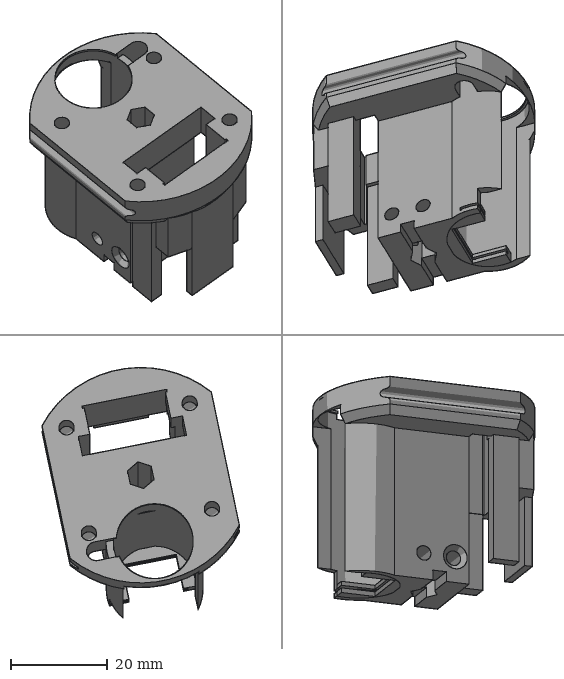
import cadquery as cq
import math

PLATE_RADIUS = 22.95
FLAT_WIDTH = 35.7
PLATE_THICKNESS = 8.0
CHAMFER_HEIGHT = 1.97
CHAMFER_INSET = 1.0
RIM_Z = CHAMFER_HEIGHT - PLATE_THICKNESS
TOTAL_HEIGHT = 40.0

GROOVE_Z = -3.55
GROOVE_HALF_HEIGHT = 1.65
GROOVE_DEPTH = 1.42
GROOVE_RADIUS = 0.9

SCREW_DIAMETER = 3.1
SCREW_DEPTH = 5.05
SCREW_POINT_ANGLE = 118.0
SCREW_CENTRE_X = 1.5
SCREW_SPACING_X = 22.95
SCREW_SPACING_Y = 25.95

HOLDER_X = -14.35
HOLDER_RADIUS = 10.0
BORE_DIAMETER = 17.0
HOLDER_TOP_Z = -1.6
LIP_DIAMETER = 15.95
LIP_THICKNESS = 0.5
FLOOR_TOP_Z = -37.55
FLOOR_EDGE_X = -16.03
OPENING_WIDTH = 15.8
OPENING_TOP_Z = -4.0
FLOOR_CUTOUT_END_X = -8.6
FLOOR_CUTOUT_WIDTH = 11.5
WALL_NOTCH_TOP_Z = -34.5

CABLE_SLOT_WIDTH = 4.0
CABLE_SLOT_END_X = FLOOR_EDGE_X + CABLE_SLOT_WIDTH
CABLE_SLOT_END_Y = 14.25
CABLE_SLOT_X = FLOOR_EDGE_X + CABLE_SLOT_WIDTH / 2

SLIT_TOP_Z = -38.45
SLIT_HEIGHT = 0.55
SLIT_HALF_WIDTH = 6.7
SLIT_CORNER = 1.2

BLOCK_START_X = -6.0
BLOCK_END_X = 6.5
BLOCK_WIDTH = 18.0
CROSS_HOLE_DIAMETER = 3.1
CROSS_HOLE_SPACING = 7.0
CROSS_HOLE_Z = -34.4
COUNTERSINK_DIAMETER = 5.25
BOTTOM_NOTCH_WIDTH = 3.0
BOTTOM_NOTCH_HEIGHT = 2.1
HEX_FLATS = 5.0
HEX_CORNERS = HEX_FLATS / math.cos(math.pi / 6)

SOCKET_START_X = 6.47
SOCKET_WIDTH = 21.95
POST_START_X = 10.65
POST_END_X = 16.35
POST_OUTER_Y = 12.2
POST_BOTTOM_Z = -34.9
THIN_POST_THICKNESS = 2.85
RETAINING_STEP = 0.15
OPENING_HALF_WIDTH = 8.55
BACK_GROOVE_WIDTH = 17.8
BACK_START_X = 16.85
BACK_END_X = 21.8
BACK_BEVEL_LENGTH = 5.2
BACK_BOTTOM_Z = -18.45
TAB_START_X = 20.1
TAB_BOTTOM_Z = -33.4


def box(x_min, x_max, y_min, y_max, z_min, z_max):
    """A box given by its limits along each axis."""
    size = (x_max - x_min, y_max - y_min, z_max - z_min)
    return cq.Workplane("XY").box(*size, centered=False).translate((x_min, y_min, z_min))


def cylinder(x, y, diameter, z_bottom, z_top):
    """A vertical cylinder."""
    return cq.Workplane("XY", origin=(x, y, z_bottom)).circle(diameter / 2).extrude(z_top - z_bottom)


def plate_outline(z):
    """Sketch of the plate: two arcs joined by flats at +Y and -Y."""
    flat_y = FLAT_WIDTH / 2
    corner_x = math.sqrt(PLATE_RADIUS**2 - flat_y**2)
    return (
        cq.Workplane("XY", origin=(0, 0, z))
        .moveTo(-corner_x, -flat_y)
        .lineTo(corner_x, -flat_y)
        .threePointArc((PLATE_RADIUS, 0), (corner_x, flat_y))
        .lineTo(-corner_x, flat_y)
        .threePointArc((-PLATE_RADIUS, 0), (-corner_x, -flat_y))
        .close()
    )


def groove_cutter():
    """Cutter for the groove along the -Y flat."""
    hollow_depth = GROOVE_DEPTH - GROOVE_RADIUS
    shoulder_radius = (GROOVE_HALF_HEIGHT**2 + hollow_depth**2 - GROOVE_RADIUS**2) / (2 * GROOVE_DEPTH)
    share = GROOVE_RADIUS / (GROOVE_RADIUS + shoulder_radius)
    touch_y = hollow_depth + share * (shoulder_radius - hollow_depth)
    touch_z = share * GROOVE_HALF_HEIGHT
    return (
        cq.Workplane("YZ", origin=(-PLATE_RADIUS, -FLAT_WIDTH / 2, GROOVE_Z))
        .moveTo(0, GROOVE_HALF_HEIGHT)
        .radiusArc((touch_y, touch_z), -shoulder_radius)
        .threePointArc((GROOVE_DEPTH, 0), (touch_y, -touch_z))
        .radiusArc((0, -GROOVE_HALF_HEIGHT), -shoulder_radius)
        .close()
        .extrude(2 * PLATE_RADIUS)
    )


def make_plate():
    """Plate with chamfered underside, grooved flats and the cable slot."""
    chamfer_angle = math.degrees(math.atan2(CHAMFER_INSET, CHAMFER_HEIGHT))
    plate = plate_outline(RIM_Z).extrude(-RIM_Z)
    plate = plate.union(plate_outline(RIM_Z).extrude(-CHAMFER_HEIGHT, taper=chamfer_angle))
    groove = groove_cutter()
    plate = plate.cut(groove).cut(groove.mirror("XZ"))

    slot_centre_y = CABLE_SLOT_END_Y - CABLE_SLOT_WIDTH / 2
    slot = box(FLOOR_EDGE_X, CABLE_SLOT_END_X, 0, slot_centre_y, -PLATE_THICKNESS, 0)
    slot_end = cylinder(CABLE_SLOT_X, slot_centre_y, CABLE_SLOT_WIDTH, -PLATE_THICKNESS, 0)
    return plate.cut(slot).cut(slot_end)


def screw_holes():
    """Blind holes with a conical end, one near each corner of the plate."""
    radius = SCREW_DIAMETER / 2
    point_depth = radius / math.tan(math.radians(SCREW_POINT_ANGLE / 2))
    hole = (
        cq.Workplane("XZ")
        .polyline([(0, 0), (radius, 0), (radius, -SCREW_DEPTH), (0, -SCREW_DEPTH - point_depth)])
        .close()
        .revolve(360, (0, 0), (0, 1))
    )
    places = cq.Workplane("XY").center(SCREW_CENTRE_X, 0).rarray(SCREW_SPACING_X, SCREW_SPACING_Y, 2, 2)
    return places.eachpoint(lambda place: hole.val().moved(place), combine=False)


def make_holder():
    """Outside of the tube and of the block that it runs into."""
    tube = cylinder(HOLDER_X, 0, 2 * HOLDER_RADIUS, -TOTAL_HEIGHT, HOLDER_TOP_Z)
    tube = tube.intersect(cylinder(0, 0, 2 * PLATE_RADIUS, -TOTAL_HEIGHT, 0))
    half_width = BLOCK_WIDTH / 2
    block = box(HOLDER_X, BLOCK_END_X, -half_width, half_width, -TOTAL_HEIGHT, -PLATE_THICKNESS)
    return tube.union(block)


def holder_cavity():
    """Bore with its top lip and the wide opening towards -X."""
    bore = cylinder(HOLDER_X, 0, BORE_DIAMETER, -TOTAL_HEIGHT, -LIP_THICKNESS)
    half_bore = BORE_DIAMETER / 2
    bore = bore.cut(
        box(BLOCK_START_X, HOLDER_X + half_bore, -half_bore, half_bore, -TOTAL_HEIGHT, -PLATE_THICKNESS)
    )
    lip_hole = cylinder(HOLDER_X, 0, LIP_DIAMETER, -LIP_THICKNESS, 0)
    half_opening = OPENING_WIDTH / 2
    opening = box(
        -PLATE_RADIUS, FLOOR_EDGE_X, -half_opening, half_opening, -TOTAL_HEIGHT, OPENING_TOP_Z
    )
    return bore.union(lip_hole).union(opening)


def wall_notch():
    """Notch in the lower end of the tube's +Y wall."""
    return box(-PLATE_RADIUS, FLOOR_EDGE_X, 0, HOLDER_RADIUS, -TOTAL_HEIGHT, WALL_NOTCH_TOP_Z)


def floor_slit():
    """Thin slit with one cut corner, open towards -X and, beside the floor edge, towards +Y."""
    slit_bottom_z = SLIT_TOP_Z - SLIT_HEIGHT
    pocket = (
        cq.Workplane("XY", origin=(0, 0, slit_bottom_z))
        .moveTo(FLOOR_EDGE_X, -SLIT_HALF_WIDTH)
        .lineTo(BLOCK_START_X - SLIT_CORNER, -SLIT_HALF_WIDTH)
        .lineTo(BLOCK_START_X, -SLIT_HALF_WIDTH + SLIT_CORNER)
        .lineTo(BLOCK_START_X, SLIT_HALF_WIDTH)
        .lineTo(FLOOR_EDGE_X, SLIT_HALF_WIDTH)
        .close()
        .extrude(SLIT_HEIGHT)
    )
    return pocket.union(box(FLOOR_EDGE_X, CABLE_SLOT_END_X, 0, HOLDER_RADIUS, slit_bottom_z, SLIT_TOP_Z))


def block_cutouts():
    """Cross holes along Y, the notch in the bottom and the hexagonal hole along Z."""
    half_width = BLOCK_WIDTH / 2
    holes = (
        cq.Workplane("XZ", origin=(0, half_width, CROSS_HOLE_Z))
        .rarray(CROSS_HOLE_SPACING, 0.45, 2, 1)
        .circle(CROSS_HOLE_DIAMETER / 2)
        .extrude(BLOCK_WIDTH)
    )
    sink_depth = (COUNTERSINK_DIAMETER - CROSS_HOLE_DIAMETER) / 2
    countersink = cq.Workplane(
        cq.Solid.makeCone(
            COUNTERSINK_DIAMETER / 2,
            CROSS_HOLE_DIAMETER / 2,
            sink_depth,
            pnt=cq.Vector(CROSS_HOLE_SPACING / 2, -half_width, CROSS_HOLE_Z),
            dir=cq.Vector(0, 1, 0),
        )
    )
    half_notch = BOTTOM_NOTCH_WIDTH / 2
    notch_top_z = BOTTOM_NOTCH_HEIGHT - TOTAL_HEIGHT
    notch = box(-half_notch, half_notch, -half_width, half_width, -TOTAL_HEIGHT, notch_top_z)
    hexagon = cq.Workplane("XY").polygon(6, HEX_CORNERS).extrude(-TOTAL_HEIGHT)
    return holes.union(countersink).union(notch).union(hexagon)


def socket_opening():
    """Stepped opening through the plate: wide part, part between the posts, groove at the back."""
    half_width = SOCKET_WIDTH / 2
    wide = box(SOCKET_START_X, POST_START_X, -half_width, half_width, -PLATE_THICKNESS, 0)
    narrow = box(POST_START_X, POST_END_X, -OPENING_HALF_WIDTH, OPENING_HALF_WIDTH, -PLATE_THICKNESS, 0)
    half_groove = BACK_GROOVE_WIDTH / 2
    groove = box(POST_END_X, BACK_START_X, -half_groove, half_groove, -PLATE_THICKNESS, 0)
    return wide.union(narrow).union(groove)


def make_posts():
    """Thin post at -Y and thick post at +Y, the thick one with a small step on its inner face."""
    thin_inner_y = THIN_POST_THICKNESS - POST_OUTER_Y
    thin = box(POST_START_X, POST_END_X, -POST_OUTER_Y, thin_inner_y, POST_BOTTOM_Z, -PLATE_THICKNESS)
    thick = box(
        POST_START_X, POST_END_X, OPENING_HALF_WIDTH, POST_OUTER_Y, POST_BOTTOM_Z, -PLATE_THICKNESS
    )
    step_y = OPENING_HALF_WIDTH - RETAINING_STEP
    step = box(
        POST_START_X, POST_END_X, step_y, OPENING_HALF_WIDTH, POST_BOTTOM_Z, BACK_BOTTOM_Z
    )
    return thin.union(thick.union(step))


def make_back():
    """Back of the socket with bevelled outer corners, and the longer tab in its middle."""
    half_width = SOCKET_WIDTH / 2
    flat_half_width = half_width - BACK_BEVEL_LENGTH
    back = (
        cq.Workplane("XY", origin=(0, 0, BACK_BOTTOM_Z))
        .moveTo(POST_END_X, -half_width)
        .lineTo(TAB_START_X, -half_width)
        .lineTo(BACK_END_X, -flat_half_width)
        .lineTo(BACK_END_X, flat_half_width)
        .lineTo(TAB_START_X, half_width)
        .lineTo(POST_END_X, half_width)
        .close()
        .extrude(RIM_Z - BACK_BOTTOM_Z)
    )
    half_groove = BACK_GROOVE_WIDTH / 2
    back = back.cut(box(POST_END_X, BACK_START_X, -half_groove, half_groove, BACK_BOTTOM_Z, RIM_Z))
    tab = box(TAB_START_X, BACK_END_X, -flat_half_width, flat_half_width, TAB_BOTTOM_Z, BACK_BOTTOM_Z)
    return back.union(tab)


def make_housing():
    """Plate, tube, block and socket as one solid."""
    housing = make_plate().union(make_holder())
    for cutter in (holder_cavity(), wall_notch(), floor_slit(), block_cutouts()):
        housing = housing.cut(cutter)
    housing = housing.cut(screw_holes()).cut(socket_opening())
    return housing.union(make_posts()).union(make_back())


def make_floor():
    """Floor that fills the lower end of the bore, with a cutout open towards -X and the slit."""
    radius = BORE_DIAMETER / 2
    floor = cylinder(HOLDER_X, 0, BORE_DIAMETER, -TOTAL_HEIGHT, FLOOR_TOP_Z)
    floor = floor.intersect(
        box(FLOOR_EDGE_X, BLOCK_START_X, -radius, radius, -TOTAL_HEIGHT, FLOOR_TOP_Z)
    )
    half_cutout = FLOOR_CUTOUT_WIDTH / 2
    cutout = box(
        FLOOR_EDGE_X, FLOOR_CUTOUT_END_X, -half_cutout, half_cutout, -TOTAL_HEIGHT, FLOOR_TOP_Z
    )
    return floor.cut(cutout).cut(floor_slit())


housing = make_housing()
holder_floor = make_floor()
result = cq.Compound.makeCompound([housing.solids().val(), holder_floor.solids().val()])